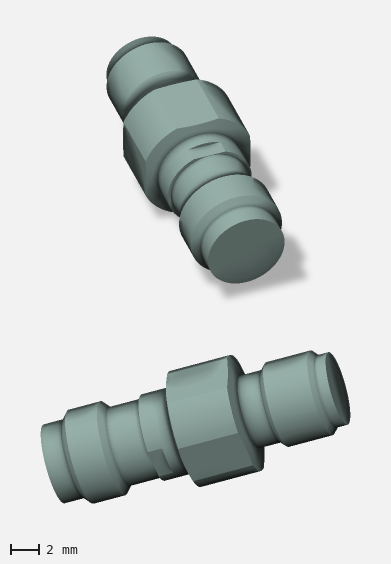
import cadquery as cq

total_length = 21.32

left_core_radius = 2.66
left_thread_radius = 3.11
left_thread_start = 0.8
left_thread_end = 4.97
left_chamfer = 0.43

body_radius = 4.26
flat_distance = 3.955
body_start = 6.63
body_end = 11.81
body_left_cone = 0.32
body_right_cone = 0.36

collar_radius = 3.18
collar_flat_distance = 2.95
collar_flat_start = 12.8
collar_end = 13.88

right_core_radius = 2.9
ring_radius = 3.45
ring_start = 16.4
ring_end = 19.8
ring_chamfer = 0.51


def make_turned_body():
    """Revolve the stepped half-profile about the X axis."""
    profile = [
        (0, 0),
        (0, left_core_radius),
        (left_thread_start, left_core_radius),
        (left_thread_start + left_chamfer, left_thread_radius),
        (left_thread_end - left_chamfer, left_thread_radius),
        (left_thread_end, left_core_radius),
        (body_start, left_core_radius),
        (body_start + body_left_cone, body_radius),
        (body_end - body_right_cone, body_radius),
        (body_end, collar_radius),
        (collar_end, collar_radius),
        (collar_end, right_core_radius),
        (ring_start, right_core_radius),
        (ring_start + ring_chamfer, ring_radius),
        (ring_end - ring_chamfer, ring_radius),
        (ring_end, right_core_radius),
        (total_length, right_core_radius),
        (total_length, 0),
    ]
    return cq.Workplane("XY").polyline(profile).close().revolve(360, (0, 0, 0), (1, 0, 0))


def flat_cutter(start, end, distance, angle):
    """Block that removes all material beyond a flat; angle 0 faces +Z."""
    block = cq.Workplane("XY").box(end - start, 2 * body_radius, body_radius, centered=(False, True, False))
    return block.translate((start, 0, distance)).rotate((0, 0, 0), (1, 0, 0), angle)


result = make_turned_body()

for angle in (0, 90, 180, 270):
    result = result.cut(flat_cutter(body_start, body_end, flat_distance, angle))

for angle in (0, 180):
    result = result.cut(flat_cutter(collar_flat_start, collar_end, collar_flat_distance, angle))